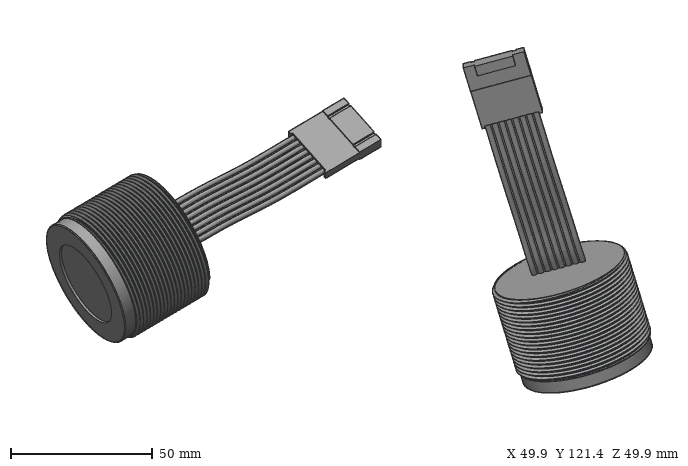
import cadquery as cq
import math

housing_length = 37.0
collar_length = 4.7
collar_radius = 23.9
front_chamfer = 0.4
window_radius = 15.8
window_depth = 1.0

first_full_turn = 5.8
last_full_turn = 35.9
full_turns = 20
thread_end_chamfer = 0.8
thread_diameter = 49.9
thread_core_radius = 23.8
thread_base_width = 1.3
thread_crest_width = 0.1
thread_root_sink = 0.2
crest_clearance = 0.1

overall_length = 121.4
connector_width = 22.3
connector_length = 24.3
body_top = 0.2
body_bottom = -3.2
head_length = 9.3
head_top = 0.6
head_bottom = -3.9
slot_width = 1.2
slot_spacing = 15.3
slot_depth = 0.7
latch_length = 3.8
latch_bottom = -5.3
notch_depth = 0.7

wire_count = 8
wire_pitch = 2.5
wire_diameter = 2.1
web_thickness = 0.5
ribbon_offset = 0.1

plug_height = -1.5
bend_start = (84.0, plug_height)
rise_start = (69.9, -0.6)
rise_end = (60.0, 0.6)
level_point = (47.1, 1.3)
entry_point = (35.8, 3.3)

thread_radius = thread_diameter / 2
thread_pitch = (last_full_turn - first_full_turn) / full_turns
connector_start = overall_length - connector_length
notch_end = connector_start + notch_depth
head_start = overall_length - head_length
latch_start = overall_length - latch_length
latch_width = slot_spacing - slot_width
wire_radius = wire_diameter / 2
wire_span = (wire_count - 1) * wire_pitch
ribbon_width = wire_span + wire_diameter


def disc(radius, y_start, y_end):
    """Cylinder on the Y axis from y_start to y_end."""
    return cq.Workplane("XZ", origin=(0, y_start, 0)).circle(radius).extrude(y_start - y_end)


def block(width, y_start, y_end, z_bottom, z_top, x_centre=0):
    """Box of the given width in X, centred on x_centre."""
    base = cq.Workplane("XY", origin=(x_centre, (y_start + y_end) / 2, z_bottom))
    return base.rect(width, y_end - y_start).extrude(z_top - z_bottom)


def make_thread():
    """Helical ridge, sunk a little into the core, running out under a chamfer at both ends."""
    root_radius = thread_core_radius - thread_root_sink
    helix_length = (full_turns + 2) * thread_pitch
    helix = cq.Wire.makeHelix(thread_pitch, helix_length, thread_core_radius)
    ridge = (
        cq.Workplane("XZ")
        .moveTo(root_radius, -thread_base_width / 2)
        .lineTo(thread_radius, -thread_crest_width / 2)
        .lineTo(thread_radius, thread_crest_width / 2)
        .lineTo(root_radius, thread_base_width / 2)
        .close()
        .sweep(cq.Workplane(obj=helix), isFrenet=True)
        .rotate((0, 0, 0), (1, 0, 0), -90)
        .translate((0, first_full_turn - thread_pitch, 0))
    )
    envelope = disc(thread_radius + crest_clearance, collar_length, housing_length)
    envelope = envelope.faces("<Y or >Y").chamfer(thread_end_chamfer + crest_clearance)
    return ridge.intersect(envelope)


def make_housing():
    """Collar with a round recess in its front face, and the threaded barrel behind it."""
    collar = disc(collar_radius, 0, collar_length).faces("<Y").chamfer(front_chamfer)
    barrel = disc(thread_core_radius, collar_length, housing_length).union(make_thread())
    window = disc(window_radius, 0, window_depth)
    return collar.union(barrel).cut(window)


def make_connector():
    """Plate with a thicker head, two slots in the head's top, a latch below and a rear notch."""
    plate = block(connector_width, connector_start, overall_length, body_bottom, body_top)
    head = block(connector_width, head_start, overall_length, head_bottom, head_top)
    latch = block(latch_width, latch_start, overall_length, latch_bottom, head_bottom)
    notch = block(ribbon_width, connector_start, notch_end, body_bottom, body_top, ribbon_offset)
    connector = plate.union(head).union(latch).cut(notch)
    for side in (-1, 1):
        slot_x = side * slot_spacing / 2
        slot = block(slot_width, head_start, overall_length, head_top - slot_depth, head_top, slot_x)
        connector = connector.cut(slot)
    return connector


def ribbon_section():
    """Outline of the wires and the web: along the top edge, then back along the bottom edge."""
    half_web = web_thickness / 2
    half_chord = math.sqrt(wire_radius**2 - half_web**2)
    wire_places = [i * wire_pitch - wire_span / 2 for i in range(wire_count)]
    outline = cq.Workplane("XZ", origin=(ribbon_offset, notch_end, plug_height))
    outline = outline.moveTo(wire_places[0] + half_chord, half_web)
    for side, places in ((1, wire_places), (-1, wire_places[::-1])):
        for x in places[1:-1]:
            outline = outline.lineTo(x - side * half_chord, side * half_web)
            outline = outline.threePointArc((x, side * wire_radius), (x + side * half_chord, side * half_web))
        last = places[-1]
        outline = outline.lineTo(last - side * half_chord, side * half_web)
        outline = outline.threePointArc(
            (last + side * wire_radius, 0), (last - side * half_chord, -side * half_web)
        )
    return outline.close()


def make_ribbon():
    """Ribbon section swept from the connector's notch and cut off at the housing's back face."""
    path = (
        cq.Workplane("YZ", origin=(ribbon_offset, 0, 0))
        .moveTo(notch_end, plug_height)
        .lineTo(*bend_start)
        .tangentArcPoint(rise_start, relative=False)
        .lineTo(*rise_end)
        .tangentArcPoint(level_point, relative=False)
        .tangentArcPoint(entry_point, relative=False)
    )
    ribbon = ribbon_section().sweep(path)
    return ribbon.cut(disc(thread_radius, 0, housing_length))


def make_cable():
    """Ribbon and connector as one solid."""
    return make_connector().union(make_ribbon())


housing = make_housing()
cable = make_cable()
result = cq.Compound.makeCompound([*housing.solids().vals(), *cable.solids().vals()])